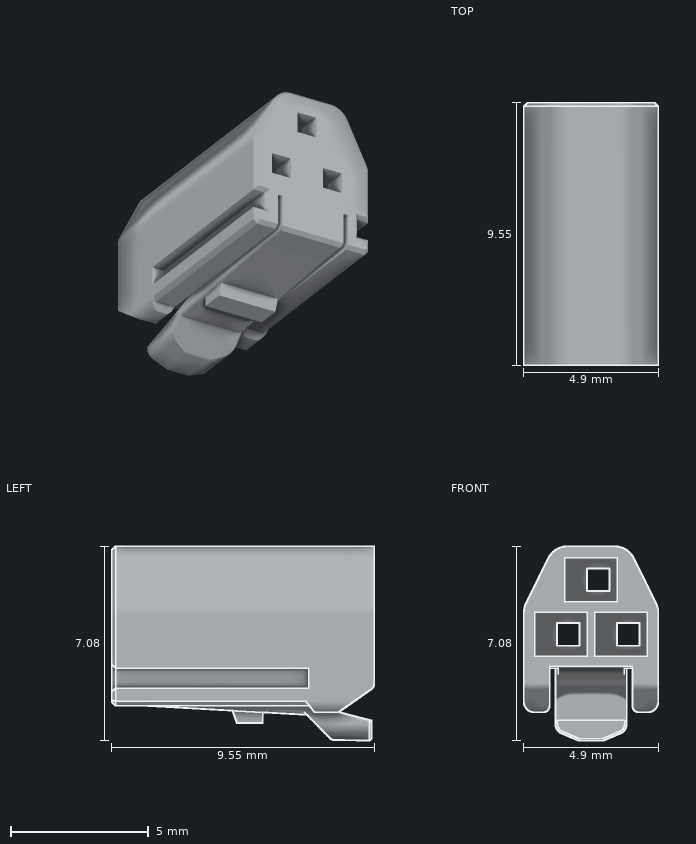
import cadquery as cq
import math


width = 4.9
length = 9.55
height = 7.08
half_width = width / 2

roof_half_width = 1.34
shoulder_z = 4.84
body_corner_radius = 0.8
body_bottom_z = 1.27
leg_chamfer = 0.16
rear_chamfer = 0.14

channel_width = 3.0
channel_ceiling_z = 2.63
channel_front_ceiling_z = 2.72

leg_width = (width - channel_width) / 2
foot_bottom_z = 1.03
foot_outer_radius = body_bottom_z + leg_chamfer - foot_bottom_z
foot_inner_radius = 0.25
foot_bottom_rear_y = 2.17
foot_top_rear_y = 2.49
foot_top_z = body_bottom_z + leg_chamfer

lead_in_z = 1.95
lead_in_angle = 35
lead_in_length = 2.5
lead_in_radius = 0.25

slot_bottom_z = 1.92
slot_top_z = 2.64
slot_front_y = 2.39
slot_depth = 0.48

cavity_width = 1.9
cavity_height = 1.6
upper_cavity_z = 5.86
lower_cavity_z = 3.87
lower_cavity_x = 1.09
rear_wall = 1.0
window_size = 0.81
window_shift = 0.26

arm_width = 2.6
arm_edge_radius = 0.1
root_front_y = 8.3
root_upper_radius = 0.2
root_lower_radius = 0.3
root_fillet_width = arm_width - 2 * arm_edge_radius
arm_top_root_z = 1.96
arm_bend_y = 2.45
arm_bend_z = 0.94
tab_top_rear_y = 3.0
tab_top_rear_z = 1.49

tab_front_y = 0.1
tab_top_front_z = 0.74
tab_bottom_rear_y = 1.55
tab_bottom_rear_z = 0.03
tab_rear_radius = 0.2
tab_bottom_width = 0.88
tab_side_z = 0.36
tab_corner_radius = 0.38
tab_front_chamfer = 0.08

tooth_width = arm_width - 2 * arm_edge_radius
tooth_front_y = 4.05
tooth_rear_bottom_y = 5.0
tooth_rear_top_y = 5.2
tooth_bottom_z = 0.64
tooth_top_z = 1.2


def box(x_range, y_range, z_range):
    """Axis-aligned box between the given limits."""
    sizes = [high - low for low, high in (x_range, y_range, z_range)]
    corner = (x_range[0], y_range[0], z_range[0])
    return cq.Workplane("XY").box(*sizes, centered=False).translate(corner)


def extrude_across(points, span):
    """Solid from a (y, z) profile, centred on x = 0 and spanning the given width."""
    return cq.Workplane("YZ", origin=(-span / 2, 0, 0)).polyline(points).close().extrude(span)


def extrude_back(points, depth):
    """Solid from an (x, z) outline, running back from y = 0."""
    return cq.Workplane("XZ").polyline(points).close().extrude(-depth)


def on_both_sides(solid):
    return solid.union(solid.mirror("YZ"))


def make_shell():
    right_side = [
        (half_width - leg_chamfer, body_bottom_z),
        (half_width, body_bottom_z + leg_chamfer),
        (half_width, shoulder_z),
        (roof_half_width, height),
    ]
    left_side = [(-x, z) for x, z in reversed(right_side)]
    shell = extrude_back(right_side + left_side, length)
    upper_zone = cq.selectors.BoxSelector(
        (-width, 0, shoulder_z - rear_chamfer), (width, length, height + rear_chamfer)
    )
    shell = shell.edges("|Y").edges(upper_zone).fillet(body_corner_radius)
    shell = shell.cut(on_both_sides(make_slot()))
    return shell.faces(">Y").edges().chamfer(rear_chamfer)


def make_foot():
    foot = box(
        (half_width - leg_width, half_width),
        (0, foot_top_rear_y),
        (foot_bottom_z, slot_bottom_z),
    )
    foot = foot.edges("|Y and >X and <Z").fillet(foot_outer_radius)
    foot = foot.edges("|Y and <X and <Z").fillet(foot_inner_radius)
    side_profile = [
        (0, slot_bottom_z),
        (0, foot_bottom_z),
        (foot_bottom_rear_y, foot_bottom_z),
        (foot_top_rear_y, foot_top_z),
        (foot_top_rear_y, slot_bottom_z),
    ]
    return foot.intersect(extrude_across(side_profile, width))


def make_channel():
    profile = [
        (0, 0),
        (0, channel_front_ceiling_z),
        (root_front_y - root_upper_radius, channel_ceiling_z),
        (length, channel_ceiling_z),
        (length, 0),
    ]
    return extrude_across(profile, channel_width)


def make_lead_in():
    """Everything kept behind the sloped and rounded front edge of the legs."""
    drop = lead_in_length * math.tan(math.radians(lead_in_angle))
    profile = [
        (0, height),
        (0, lead_in_z),
        (lead_in_length, lead_in_z - drop),
        (length, lead_in_z - drop),
        (length, height),
    ]
    front_edge = cq.selectors.NearestToPointSelector((0, 0, lead_in_z))
    return extrude_across(profile, width).edges("|X").edges(front_edge).fillet(lead_in_radius)


def make_slot():
    return box(
        (half_width - slot_depth, half_width),
        (slot_front_y, length),
        (slot_bottom_z, slot_top_z),
    )


def make_cavity(x, z):
    pocket = box(
        (x - cavity_width / 2, x + cavity_width / 2),
        (0, length - rear_wall),
        (z - cavity_height / 2, z + cavity_height / 2),
    )
    window_x = x + window_shift
    window = box(
        (window_x - window_size / 2, window_x + window_size / 2),
        (0, length),
        (z - window_size / 2, z + window_size / 2),
    )
    return pocket.union(window)


def make_arm():
    profile = [
        (length, channel_ceiling_z),
        (root_front_y, channel_ceiling_z),
        (root_front_y, arm_top_root_z),
        (tab_top_rear_y, tab_top_rear_z),
        (tab_front_y, tab_top_front_z),
        (tab_front_y, 0),
        (tab_bottom_rear_y, tab_bottom_rear_z),
        (arm_bend_y, arm_bend_z),
        (root_front_y, body_bottom_z),
        (length - rear_chamfer, body_bottom_z),
        (length, body_bottom_z + rear_chamfer),
    ]
    arm = extrude_across(profile, arm_width)
    root_corner = cq.selectors.NearestToPointSelector((0, root_front_y, arm_top_root_z))
    arm = arm.edges("|X").edges(root_corner).fillet(root_lower_radius)
    tab_corner = cq.selectors.NearestToPointSelector((0, tab_bottom_rear_y, tab_bottom_rear_z))
    arm = arm.edges("|X").edges(tab_corner).fillet(tab_rear_radius)

    half_arm = arm_width / 2
    half_bottom = tab_bottom_width / 2
    outline = [
        (-half_arm, height),
        (-half_arm, tab_side_z),
        (-half_bottom, 0),
        (half_bottom, 0),
        (half_arm, tab_side_z),
        (half_arm, height),
    ]
    envelope = extrude_back(outline, length)
    for side in (-1, 1):
        corner = cq.selectors.NearestToPointSelector((side * half_arm, length / 2, tab_side_z))
        envelope = envelope.edges("|Y").edges(corner).fillet(tab_corner_radius)
    arm = arm.intersect(envelope)
    arm = arm.faces("<Y").edges("not >Z").chamfer(tab_front_chamfer)

    long_edges = cq.selectors.BoxSelector(
        (-width, tab_front_y + arm_edge_radius, arm_bend_z - arm_edge_radius),
        (width, root_front_y + arm_edge_radius, channel_ceiling_z),
    )
    return arm.edges("not |X").edges(long_edges).fillet(arm_edge_radius)


def make_root_fillet():
    """Concave round between the channel ceiling and the arm root."""
    ceiling_front_y = root_front_y - root_upper_radius
    wall_bottom_z = channel_ceiling_z - root_upper_radius
    block = box(
        (-root_fillet_width / 2, root_fillet_width / 2),
        (ceiling_front_y, root_front_y),
        (wall_bottom_z, channel_ceiling_z),
    )
    hollow = (
        cq.Workplane("YZ", origin=(-root_fillet_width / 2, ceiling_front_y, wall_bottom_z))
        .circle(root_upper_radius)
        .extrude(root_fillet_width)
    )
    return block.cut(hollow)


def make_tooth():
    profile = [
        (tooth_front_y, tooth_top_z),
        (tooth_front_y, tooth_bottom_z),
        (tooth_rear_bottom_y, tooth_bottom_z),
        (tooth_rear_top_y, tooth_top_z),
    ]
    return extrude_across(profile, tooth_width)


result = make_shell().cut(make_channel()).union(on_both_sides(make_foot()))
result = result.intersect(make_lead_in())
for cavity_x, cavity_z in (
    (0, upper_cavity_z),
    (-lower_cavity_x, lower_cavity_z),
    (lower_cavity_x, lower_cavity_z),
):
    result = result.cut(make_cavity(cavity_x, cavity_z))
result = result.union(make_arm()).union(make_root_fillet()).union(make_tooth())